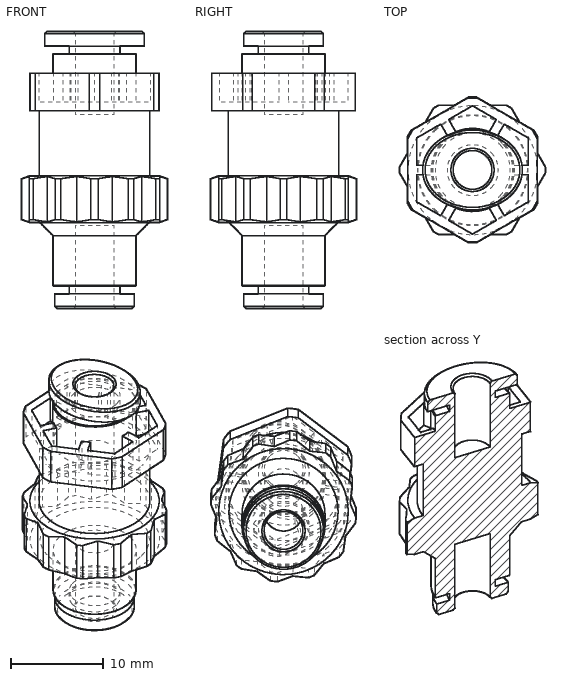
import cadquery as cq
import math

LENGTH = 30.0

BODY_RADIUS = 6.0
END_RADIUS = 4.5
NECK_RADIUS = 2.75
EDGE_BREAK = 0.1
BODY_BOTTOM = 2.43
CONE_BOTTOM = 7.9
BODY_TOP = 27.6

COLLAR_HEIGHT = 1.6
COLLAR_RADIUS = 4.32
OVAL_HALF_LENGTH = 5.4
COLLAR_CHAMFER = 0.27

BORE_RADIUS = 2.1
BORE_DEPTH = 9.0
BORE_CHAMFER = 0.25

HEX_ACROSS_FLATS = 14.0

HEAD_BOTTOM = 21.4
HEAD_TOP = 25.47
HEAD_CORNER_RADIUS = 7.77
HEAD_WALL = 1.0
RIB_WIDTH = 1.0
RIB_COUNT = 6

NUT_BOTTOM = 9.3
NUT_TOP = 14.37
NUT_DIAMETER = 15.8
NUT_RADIUS = NUT_DIAMETER / 2
NUT_SECOND_ACROSS_FLATS = 14.07
NUT_BEVEL_ANGLE = 20.0


def cylinder(radius, bottom, top):
    return cq.Workplane("XY").workplane(offset=bottom).circle(radius).extrude(top - bottom)


def hexagon(across_flats, bottom, top, turn=0.0):
    """Hexagonal prism with corners on the X axis, turned about Z by `turn` degrees."""
    across_corners = across_flats / math.cos(math.radians(30))
    prism = cq.Workplane("XY").workplane(offset=bottom).polygon(6, across_corners).extrude(top - bottom)
    return prism.rotate((0, 0, 0), (0, 0, 1), turn)


def turned(profile):
    """Solid of revolution about Z from closed (radius, height) profile points."""
    return cq.Workplane("XZ").polyline(profile).close().revolve(360, (0, 0, 0), (0, 1, 0))


def make_body():
    """Stepped core with a 45 degree cone below the nut; the two end rims are slightly broken."""
    cone_top = CONE_BOTTOM + BODY_RADIUS - END_RADIUS
    return turned([
        (0, BODY_BOTTOM),
        (END_RADIUS - EDGE_BREAK, BODY_BOTTOM),
        (END_RADIUS, BODY_BOTTOM + EDGE_BREAK),
        (END_RADIUS, CONE_BOTTOM),
        (BODY_RADIUS, cone_top),
        (BODY_RADIUS, HEAD_BOTTOM),
        (END_RADIUS, HEAD_BOTTOM),
        (END_RADIUS, BODY_TOP - EDGE_BREAK),
        (END_RADIUS - EDGE_BREAK, BODY_TOP),
        (0, BODY_TOP),
    ])


def make_collars():
    """Release collars and the thin sleeves that join them to the body."""
    lower = cylinder(COLLAR_RADIUS, 0, COLLAR_HEIGHT).faces("<Z").chamfer(COLLAR_CHAMFER)
    upper = (
        cq.Workplane("XY")
        .workplane(offset=LENGTH - COLLAR_HEIGHT)
        .ellipse(OVAL_HALF_LENGTH, COLLAR_RADIUS)
        .extrude(COLLAR_HEIGHT)
        .faces(">Z")
        .chamfer(COLLAR_CHAMFER)
    )
    lower_neck = cylinder(NECK_RADIUS, COLLAR_HEIGHT, BODY_BOTTOM)
    upper_neck = cylinder(NECK_RADIUS, BODY_TOP, LENGTH - COLLAR_HEIGHT)
    return lower.union(lower_neck).union(upper).union(upper_neck)


def make_head():
    """Hexagon cup, open at the top, with a rib from the middle of each flat to the body."""
    floor = HEAD_BOTTOM + HEAD_WALL
    outer = hexagon(HEX_ACROSS_FLATS, HEAD_BOTTOM, HEAD_TOP, 30)
    outer = outer.intersect(cylinder(HEAD_CORNER_RADIUS, HEAD_BOTTOM, HEAD_TOP))
    pocket = hexagon(HEX_ACROSS_FLATS - 2 * HEAD_WALL, floor, HEAD_TOP, 30)
    head = outer.cut(pocket)
    rib_end = HEX_ACROSS_FLATS / 2 - HEAD_WALL / 2
    rib = (
        cq.Workplane("XY")
        .workplane(offset=floor)
        .rect(2 * rib_end, RIB_WIDTH)
        .extrude(HEAD_TOP - floor)
    )
    for index in range(RIB_COUNT // 2):
        head = head.union(rib.rotate((0, 0, 0), (0, 0, 1), index * 360 / RIB_COUNT))
    return head


def make_nut():
    """Two crossed hexagons trimmed by a round blank with a shallow bevel at both ends."""
    star = hexagon(HEX_ACROSS_FLATS, NUT_BOTTOM, NUT_TOP)
    star = star.union(hexagon(NUT_SECOND_ACROSS_FLATS, NUT_BOTTOM, NUT_TOP, 30))
    face_radius = HEX_ACROSS_FLATS / 2
    bevel_height = (NUT_RADIUS - face_radius) * math.tan(math.radians(NUT_BEVEL_ANGLE))
    blank = turned([
        (0, NUT_BOTTOM),
        (face_radius, NUT_BOTTOM),
        (NUT_RADIUS, NUT_BOTTOM + bevel_height),
        (NUT_RADIUS, NUT_TOP - bevel_height),
        (face_radius, NUT_TOP),
        (0, NUT_TOP),
    ])
    return star.intersect(blank)


def make_bore():
    """Upper tube bore with a flared mouth, shaped as the solid to remove."""
    return turned([
        (0, LENGTH - BORE_DEPTH),
        (BORE_RADIUS, LENGTH - BORE_DEPTH),
        (BORE_RADIUS, LENGTH - BORE_CHAMFER),
        (BORE_RADIUS + BORE_CHAMFER, LENGTH),
        (0, LENGTH),
    ])


upper_bore = make_bore()
lower_bore = upper_bore.mirror("XY", (0, 0, LENGTH / 2))

result = make_body().union(make_collars()).union(make_head()).union(make_nut())
result = result.cut(upper_bore).cut(lower_bore)